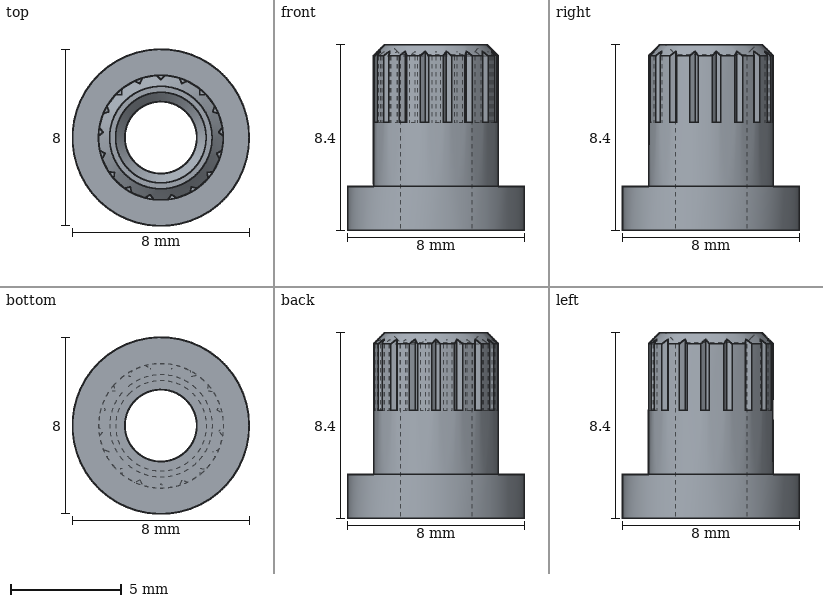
import cadquery as cq

total_height = 8.4
flange_diameter = 8.0
flange_height = 2.0
barrel_diameter = 5.645
bore_diameter = 3.24

outer_chamfer = 0.5
bore_chamfer = 0.43

groove_count = 17
groove_depth = 0.2
groove_length = 3.5
first_groove_angle = 90.0

barrel_radius = barrel_diameter / 2
groove_bottom = total_height - groove_length


def make_body():
    """Flanged barrel with a chamfered outer top edge."""
    flange = cq.Workplane("XY").circle(flange_diameter / 2).extrude(flange_height)
    barrel = cq.Workplane("XY").circle(barrel_radius).extrude(total_height)
    return flange.union(barrel.faces(">Z").chamfer(outer_chamfer))


def make_bore():
    """Through bore with a 45 degree countersink at the top."""
    bore_radius = bore_diameter / 2
    profile = [
        (0, 0),
        (bore_radius, 0),
        (bore_radius, total_height - bore_chamfer),
        (bore_radius + bore_chamfer, total_height),
        (0, total_height),
    ]
    return cq.Workplane("XZ").polyline(profile).close().revolve(360, (0, 0), (0, 1))


def make_groove(angle):
    """Triangular cutter whose apex points at the axis and whose base lies outside the barrel."""
    cutter_height = 2 * groove_depth
    apex = barrel_radius - groove_depth
    base = apex + cutter_height
    return (
        cq.Workplane("XY", origin=(0, 0, groove_bottom))
        .polyline([(apex, 0), (base, cutter_height), (base, -cutter_height)])
        .close()
        .extrude(groove_length)
        .rotate((0, 0, 0), (0, 0, 1), angle)
    )


result = make_body().cut(make_bore())
for index in range(groove_count):
    result = result.cut(make_groove(first_groove_angle + index * 360 / groove_count))